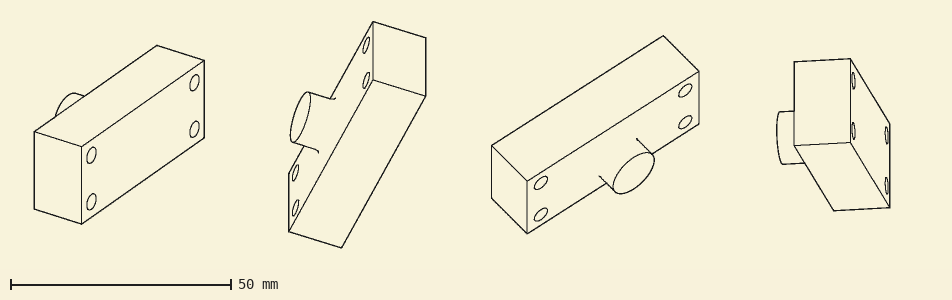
import cadquery as cq

block_thickness = 13.0
block_length = 50.0
block_height = 20.0

boss_diameter = 12.0
boss_length = 7.5
boss_fillet_radius = 2.0

hole_diameter = 3.8
hole_edge_distance = 4.0
hole_spacing_y = block_length - 2 * hole_edge_distance
hole_spacing_z = block_height - 2 * hole_edge_distance


def make_block():
    """Block centred on the X axis, with its boss face at X = 0."""
    return cq.Workplane("YZ").rect(block_length, block_height).extrude(block_thickness)


def add_boss(body):
    """Add the boss and round the corner where it meets the block."""
    boss = cq.Workplane("YZ").circle(boss_diameter / 2).extrude(-boss_length)
    joined = body.union(boss)
    return joined.edges("%CIRCLE").edges(">X").fillet(boss_fillet_radius)


def cut_holes(body):
    """Cut the corner holes through the full block thickness."""
    holes = (
        cq.Workplane("YZ")
        .rect(hole_spacing_y, hole_spacing_z, forConstruction=True)
        .vertices()
        .circle(hole_diameter / 2)
        .extrude(block_thickness)
    )
    return body.cut(holes)


result = cut_holes(add_boss(make_block()))